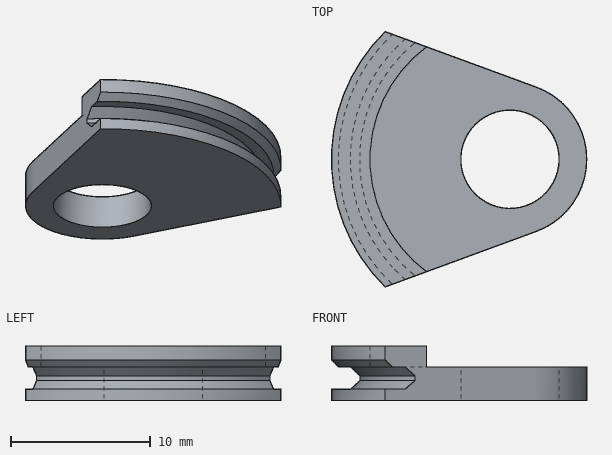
import cadquery as cq
import math

hub_radius = 5.5
bore_diameter = 7.0
rim_radius = 12.75
step_radius = 10.0

half_width = 9.12

web_height = 2.4
rim_height = 3.9

groove_bottom = 0.82
groove_top = web_height
groove_floor_bottom = 1.42
groove_floor_top = 1.77
groove_floor_radius = rim_radius - 2.0
groove_shoulder_radius = rim_radius - 1.35
lip_chamfer = 0.5

cutter_margin = 0.91


def sector_outline():
    """Rim arc joined to the round hub by two straight sides tangent to the hub."""
    corner_x = -math.sqrt(rim_radius**2 - half_width**2)
    corner_angle = math.atan2(half_width, corner_x)
    tangent_angle = corner_angle - math.acos(hub_radius / rim_radius)
    tangent_x = hub_radius * math.cos(tangent_angle)
    tangent_y = hub_radius * math.sin(tangent_angle)
    return (
        cq.Workplane("XY")
        .moveTo(corner_x, half_width)
        .lineTo(tangent_x, tangent_y)
        .threePointArc((hub_radius, 0), (tangent_x, -tangent_y))
        .lineTo(corner_x, -half_width)
        .threePointArc((-rim_radius, 0), (corner_x, half_width))
        .close()
    )


def step_cutter():
    """Disc that lowers the area inside the raised rim."""
    return (
        cq.Workplane("XY")
        .workplane(offset=web_height)
        .circle(step_radius)
        .extrude(rim_height - web_height)
    )


def groove_cutter():
    """Ring with the groove section, including the chamfer under the upper lip."""
    cutter_radius = rim_radius + cutter_margin
    section = [
        (cutter_radius, groove_bottom),
        (groove_shoulder_radius, groove_bottom),
        (groove_floor_radius, groove_floor_bottom),
        (groove_floor_radius, groove_floor_top),
        (groove_shoulder_radius, groove_top),
        (rim_radius - lip_chamfer, groove_top),
        (rim_radius, groove_top + lip_chamfer),
        (cutter_radius, groove_top + lip_chamfer),
    ]
    return cq.Workplane("XZ").polyline(section).close().revolve(360, (0, 0, 0), (0, 1, 0))


def bore_cutter():
    """Pivot hole through the hub."""
    return cq.Workplane("XY").circle(bore_diameter / 2).extrude(rim_height)


sector = sector_outline().extrude(rim_height)
result = sector.cut(step_cutter()).cut(groove_cutter()).cut(bore_cutter())